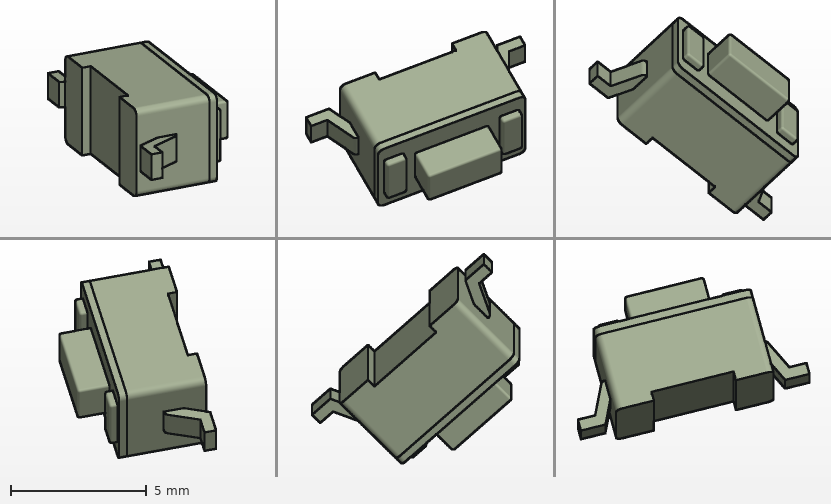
import cadquery as cq
import math

overall_length = 8.7

housing_length = 5.99
housing_height = 3.5
corner_radius = 0.25

base_bottom = 0.05
seam_level = 3.045
cover_top = 3.35
post_top = 3.645
button_top = 4.55

channel_width = 3.12
channel_depth = 0.35

leg_width = 1.02
foot_thickness = 0.44
foot_length = 0.65
riser_angle = 65.0
sole_length = 0.93
shoulder_level = 1.66
shoulder_radius = 0.19

button_length = 3.0
button_height = 1.505
post_length = 0.8
post_height = 2.08
post_offset = 2.35
knob_edge_radius = 0.1


def block(length, height, bottom, top, center_x=0.0):
    """Box centered on Z = 0, spanning bottom to top along Y."""
    size_y = top - bottom
    return cq.Workplane("XY").box(length, size_y, height).translate((center_x, bottom + size_y / 2, 0))


def housing_slice(bottom, top):
    """Slice of the housing with its four corners along Y rounded."""
    return block(housing_length, housing_height, bottom, top).edges("|Y").fillet(corner_radius)


def make_leg():
    """Left leg, ending flush against the side of the housing."""
    toe_x = -overall_length / 2
    side_x = -housing_length / 2
    slope = math.tan(math.radians(riser_angle))
    knee_x = toe_x + foot_length
    heel_x = toe_x + sole_length
    shoulder_x = knee_x + (shoulder_level - foot_thickness) / slope
    riser_end = (side_x - heel_x) * slope
    shoulder_run = shoulder_radius * math.tan(math.radians(riser_angle / 2))
    riser_x = shoulder_x - shoulder_run * math.cos(math.radians(riser_angle))
    riser_y = shoulder_level - shoulder_run * math.sin(math.radians(riser_angle))
    return (
        cq.Workplane("XY")
        .moveTo(toe_x, 0)
        .lineTo(heel_x, 0)
        .lineTo(side_x, riser_end)
        .lineTo(side_x, shoulder_level)
        .lineTo(shoulder_x + shoulder_run, shoulder_level)
        .radiusArc((riser_x, riser_y), -shoulder_radius)
        .lineTo(knee_x, foot_thickness)
        .lineTo(toe_x, foot_thickness)
        .close()
        .extrude(leg_width / 2, both=True)
    )


def make_base():
    """Housing block with its underside channel and both legs."""
    channel_top = base_bottom + channel_depth
    channel = block(channel_width, housing_height, base_bottom, channel_top)
    leg = make_leg()
    return housing_slice(base_bottom, seam_level).cut(channel).union(leg).union(leg.mirror("YZ"))


def make_knob(length, height, top, center_x=0.0):
    """Raised block on the cover with rounded sides and top edges."""
    knob = block(length, height, cover_top, top, center_x)
    return knob.edges("|Y or >Y").fillet(knob_edge_radius)


def make_cover():
    """Cover plate with the button and a locating post on each side."""
    cover = housing_slice(seam_level, cover_top)
    cover = cover.union(make_knob(button_length, button_height, button_top))
    for post_x in (-post_offset, post_offset):
        cover = cover.union(make_knob(post_length, post_height, post_top, post_x))
    return cover


base = make_base()
cover = make_cover()

result = cq.Compound.makeCompound([base.solids().val(), cover.solids().val()])